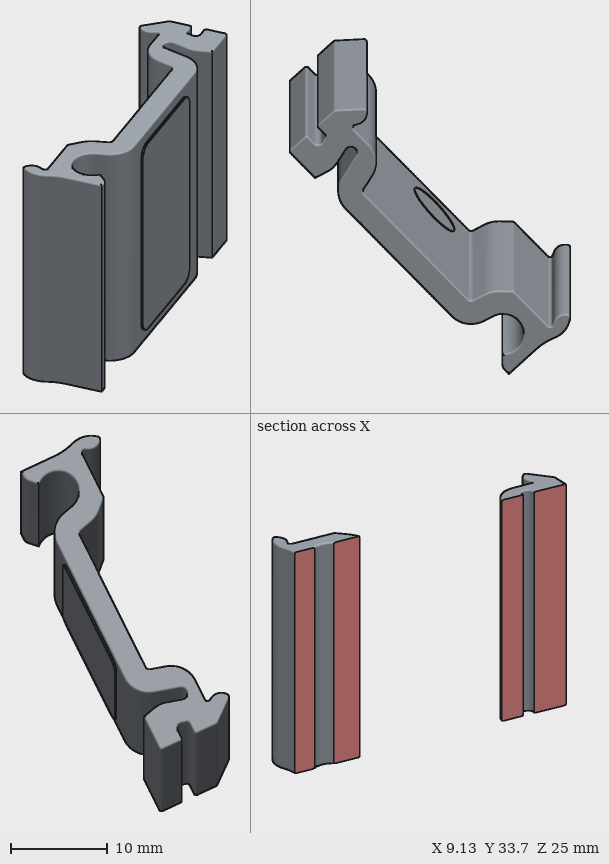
import cadquery as cq
import math

LENGTH = 33.7
HEIGHT = 25.0
BODY_DEPTH = 8.93
TOTAL_DEPTH = 9.13
END_FILLET = 0.2
SMALL_ROUND = 0.27
SHARP = 0

FRONT_WALL_X = 2.4
WEB_FRONT_X = 6.4
TOP_Y = LENGTH / 2
SLOPE_ANGLE = math.radians(15)
SLOPE = math.tan(SLOPE_ANGLE)

BEND_RADIUS = 2.8
INNER_BEND_RADIUS = 0.4
UPPER_BEND_OUTER_Y = 10.45
UPPER_BEND_INNER_Y = 8.45
LOWER_BEND_OUTER_Y = -9.8
LOWER_BEND_INNER_Y = -7.82

FACET_START_Y = -10.08
FACET_END_X = 4.05
FACET_END_Y = -8.45
FACET_BLEND_RADIUS = 3.0

BARB_CREST_X = 0.8
BARB_CREST_RADIUS = 1.25
BARB_CREST_REACH = 0.9
BARB_NECK_OFFSET = 0.1
BARB_TIP_WIDTH = 0.3
UPPER_BARB_TIP_Y = 14.5
LOWER_BARB_TIP_Y = -15.8

NOSE_TOP_X = 2.43
NOTCH_LEFT_X = 4.95
NOTCH_RIGHT_X = 6.37
NOTCH_LEFT_Y = 15.37
NOTCH_FLOOR_RADIUS = 0.5

SLOT_END_X = 4.35
SLOT_WIDTH = 1.25
SLOT_END_RADIUS = 0.6
SLOT_LIP_X = 6.85
SLOT_LIP_RADIUS = 2.7

SOCKET_X = 6.37
SOCKET_RADIUS = 2.12
JAW_TIP_ANGLE = math.radians(-45)
JAW_CORNER_Y = -15.23
JAW_RADIUS = 1.0

UNDERSIDE_Y = -16.28
HOLLOW_X = 3.95
HOLLOW_RADIUS = 6.0
BELLY_X = 1.3
BELLY_Y = -17.22
BELLY_RADIUS = 2.7

MARK_DIAMETER = 6.0
MARK_DEPTH = 0.07
MARK_Y = -2.45
MARK_Z = 7.5
PAD_WIDTH = 12.35
PAD_HEIGHT = 22.38
PAD_Y = 0.25
PAD_CORNER_RADIUS = 1.35
PAD_OVERLAP = 0.35


def rounded_outline(corners):
    """Closed wire through (x, y, radius) corners, each rounded by its radius."""
    bends = []
    for i, (x, y, radius) in enumerate(corners):
        corner = cq.Vector(x, y)
        before = cq.Vector(*corners[i - 1][:2])
        after = cq.Vector(*corners[(i + 1) % len(corners)][:2])
        to_before = (before - corner).normalized()
        to_after = (after - corner).normalized()
        half_angle = to_before.getAngle(to_after) / 2
        setback = radius / math.tan(half_angle)
        bisector = (to_before + to_after).normalized()
        start = corner + to_before * setback
        middle = corner + bisector * (radius / math.sin(half_angle) - radius)
        end = corner + to_after * setback
        bends.append((start, middle, end, radius))

    edges = []
    for i, (start, middle, end, radius) in enumerate(bends):
        if radius > 0:
            edges.append(cq.Edge.makeThreePointArc(start, middle, end))
        next_start = bends[(i + 1) % len(bends)][0]
        edges.append(cq.Edge.makeLine(end, next_start))
    return cq.Wire.assembleEdges(edges)


def upper_end_corners():
    """Slanted nose, notched end face and back corner of the upper hook."""
    notch_right_y = NOTCH_LEFT_Y - SLOPE * (NOTCH_RIGHT_X - NOTCH_LEFT_X)
    return [
        (0, UPPER_BARB_TIP_Y + BARB_TIP_WIDTH, SMALL_ROUND),
        (NOSE_TOP_X, TOP_Y, SMALL_ROUND),
        (NOTCH_LEFT_X, TOP_Y, SMALL_ROUND),
        (NOTCH_LEFT_X, NOTCH_LEFT_Y, SMALL_ROUND),
        (NOTCH_RIGHT_X, notch_right_y, NOTCH_FLOOR_RADIUS),
        (NOTCH_RIGHT_X, TOP_Y, SMALL_ROUND),
        (BODY_DEPTH, TOP_Y, SMALL_ROUND),
    ]


def slot_corners():
    """Slot whose floor continues the sloped outer face of the upper bend."""
    cos_slope = math.cos(SLOPE_ANGLE)
    sin_slope = math.sin(SLOPE_ANGLE)
    floor_x = SLOT_END_X - SLOT_WIDTH / 2 * (cos_slope + sin_slope)
    floor_y = UPPER_BEND_OUTER_Y + SLOPE * (BODY_DEPTH - floor_x)
    roof_x = floor_x + SLOT_WIDTH * sin_slope
    roof_y = floor_y + SLOT_WIDTH * cos_slope
    lip_y = roof_y - SLOPE * (SLOT_LIP_X - roof_x)
    mouth_y = lip_y + SLOPE * (BODY_DEPTH - SLOT_LIP_X)
    return [
        (BODY_DEPTH, mouth_y, SHARP),
        (SLOT_LIP_X, lip_y, SLOT_LIP_RADIUS),
        (roof_x, roof_y, SLOT_END_RADIUS),
        (floor_x, floor_y, SLOT_END_RADIUS),
        (BODY_DEPTH, UPPER_BEND_OUTER_Y, BEND_RADIUS),
    ]


def socket_centre_y():
    """Centre height at which the socket touches the lower bend's sloped outer face."""
    face_y = LOWER_BEND_OUTER_Y - SLOPE * (BODY_DEPTH - SOCKET_X)
    return face_y - SOCKET_RADIUS / math.cos(SLOPE_ANGLE)


def socket_corner(angle):
    """Sharp outline corner on the socket circle."""
    x = SOCKET_X + SOCKET_RADIUS * math.cos(angle)
    y = socket_centre_y() + SOCKET_RADIUS * math.sin(angle)
    return (x, y, SHARP)


def lower_back_corners():
    """Outer bend, straight chord across the socket, then jaw and underside."""
    return [
        (BODY_DEPTH, LOWER_BEND_OUTER_Y, BEND_RADIUS),
        socket_corner(math.pi / 2 + SLOPE_ANGLE),
        socket_corner(JAW_TIP_ANGLE),
        (BODY_DEPTH, JAW_CORNER_Y, JAW_RADIUS),
        (BODY_DEPTH, UNDERSIDE_Y, SHARP),
        (HOLLOW_X, UNDERSIDE_Y, HOLLOW_RADIUS),
        (BELLY_X, BELLY_Y, BELLY_RADIUS),
        (0, LOWER_BARB_TIP_Y - BARB_TIP_WIDTH, SMALL_ROUND),
    ]


def barb_corners(tip_y, side):
    """Corners from tip to neck; side is +1 for a crest toward +Y, -1 toward -Y."""
    return [
        (0, tip_y, SMALL_ROUND),
        (BARB_CREST_X, tip_y + side * BARB_CREST_REACH, BARB_CREST_RADIUS),
        (FRONT_WALL_X, tip_y + side * BARB_NECK_OFFSET, SMALL_ROUND),
    ]


def front_corners():
    """Front side from the lower barb over the web to the upper barb."""
    upper_wall_end_y = UPPER_BEND_INNER_Y + SLOPE * (WEB_FRONT_X - FRONT_WALL_X)
    web_and_bends = [
        (FRONT_WALL_X, FACET_START_Y, SMALL_ROUND),
        (FACET_END_X, FACET_END_Y, FACET_BLEND_RADIUS),
        (WEB_FRONT_X, LOWER_BEND_INNER_Y, INNER_BEND_RADIUS),
        (WEB_FRONT_X, UPPER_BEND_INNER_Y, INNER_BEND_RADIUS),
        (FRONT_WALL_X, upper_wall_end_y, BEND_RADIUS),
    ]
    lower_barb = barb_corners(LOWER_BARB_TIP_Y, 1)
    upper_barb = barb_corners(UPPER_BARB_TIP_Y, -1)
    return lower_barb + web_and_bends + upper_barb[::-1]


def clip_body():
    """Extruded profile with the round socket cut and both ends rounded over."""
    corners = upper_end_corners() + slot_corners() + lower_back_corners() + front_corners()
    profile = rounded_outline(corners)
    prism = cq.Solid.extrudeLinear(profile, [], cq.Vector(0, 0, HEIGHT))
    body = cq.Workplane(prism).translate((0, 0, -HEIGHT / 2))
    socket = (
        cq.Workplane("XY")
        .center(SOCKET_X, socket_centre_y())
        .circle(SOCKET_RADIUS)
        .extrude(HEIGHT, both=True)
    )
    return body.cut(socket).faces("<Z or >Z").edges().fillet(END_FILLET)


def web_mark():
    """Disc to be cut from the web front."""
    plane = cq.Workplane("YZ", origin=(WEB_FRONT_X, MARK_Y, MARK_Z))
    return plane.circle(MARK_DIAMETER / 2).extrude(MARK_DEPTH)


def back_pad():
    """Rounded plate standing slightly proud of the web back."""
    plane = cq.Workplane("YZ", origin=(BODY_DEPTH - PAD_OVERLAP, PAD_Y, 0))
    plate = plane.rect(PAD_WIDTH, PAD_HEIGHT).extrude(TOTAL_DEPTH - BODY_DEPTH + PAD_OVERLAP)
    return plate.edges("|X").fillet(PAD_CORNER_RADIUS)


result = clip_body().cut(web_mark()).union(back_pad())